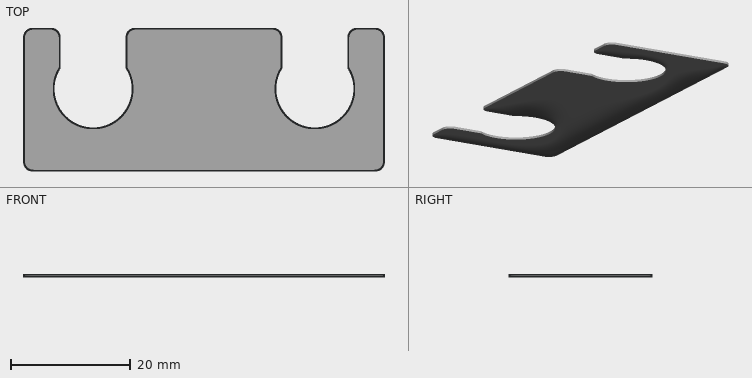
import cadquery as cq

length = 60.33
width = 23.81
thickness = 0.38
corner_radius = 1.5

notch_spacing = 37.15
notch_circle_diameter = 13.2
notch_circle_depth = 10.1
notch_neck_width = 11.15

notch_centre_y = width / 2 - notch_circle_depth


def make_plate():
    """Flat rectangular blank."""
    return cq.Workplane("XY").box(length, width, thickness, centered=(True, True, False))


def make_notch(centre_x):
    """Cutter for one notch: a circle with a narrower neck running out to the +Y edge."""
    circle = (
        cq.Workplane("XY")
        .center(centre_x, notch_centre_y)
        .circle(notch_circle_diameter / 2)
        .extrude(thickness)
    )
    neck = (
        cq.Workplane("XY")
        .center(centre_x, notch_centre_y + notch_circle_depth / 2)
        .rect(notch_neck_width, notch_circle_depth)
        .extrude(thickness)
    )
    return circle.union(neck)


def round_corners(plate):
    """Round the four outer corners and both mouth corners of each notch."""
    return plate.edges("|Z").edges(">Y or <Y").fillet(corner_radius)


plate = make_plate()
for side in (-1, 1):
    plate = plate.cut(make_notch(side * notch_spacing / 2))

result = round_corners(plate)